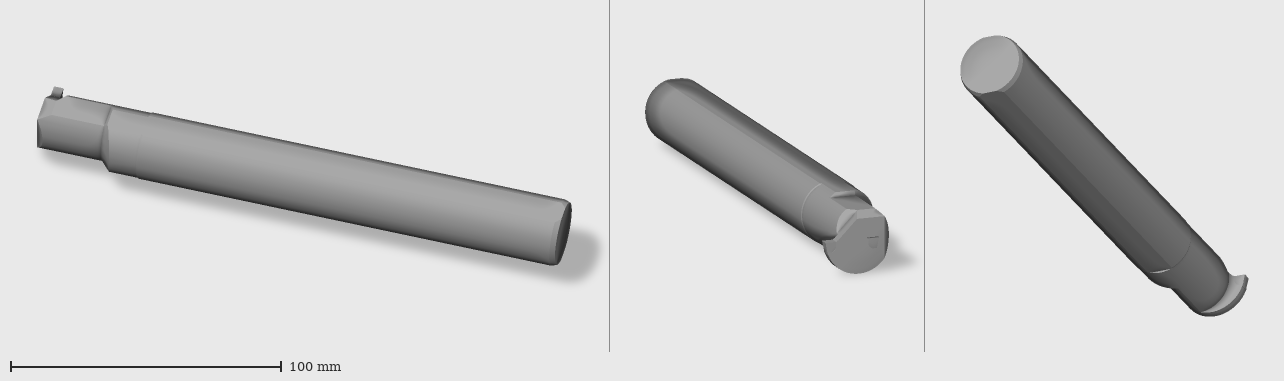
import cadquery as cq
import math

TOTAL_LENGTH = 200.0
SHANK_RADIUS = 12.5
FLAT_HEIGHT = 11.5
END_CHAMFER_LENGTH = 2.0
END_CHAMFER_ANGLE = 20.0

HEAD_RADIUS = 12.25
HEAD_LENGTH = 39.7
HEAD_TAPER = 0.6

NECK_RADIUS = 13.0
NECK_OFFSET = 5.3
NECK_LENGTH = 25.0
NECK_FLAT_HEIGHT = 10.0
NECK_FLAT_RUNOUT = 1.4

BLADE_THICKNESS = 3.65
SIDE_CHAMFER = 2.8
TOP_CHAMFER_LENGTH = 4.9
TOP_CHAMFER_DROP = 2.0
RELIEF_LENGTH = 4.9
RELIEF_SUM = 14.0
RELIEF_RUNOUT_SLOPE = 0.9

INSERT_TIP_Y = 18.5
INSERT_INNER_Y = -2.7
INSERT_BOTTOM = -4.7
INSERT_TOP = 0.5
TIP_LEVEL = 0.0
TIP_LENGTH = 4.2
TIP_RAMP = 0.7
TIP_CLEARANCE = 1.0
TIP_RELIEF_DEPTH = 0.2
TIP_RELIEF_BOTTOM = -3.9
TIP_RELIEF_RADIUS = 2.2

MARGIN = 10.0


def plate(points):
    """Blade-thick plate behind X = 0 from a closed outline of (y, z) points."""
    return cq.Workplane("YZ").polyline(points).close().extrude(BLADE_THICKNESS)


def make_bar():
    taper_end = HEAD_LENGTH + HEAD_TAPER
    end_radius = SHANK_RADIUS - END_CHAMFER_LENGTH * math.tan(math.radians(END_CHAMFER_ANGLE))
    bar = (
        cq.Workplane("XY")
        .moveTo(0, 0)
        .lineTo(0, HEAD_RADIUS)
        .lineTo(HEAD_LENGTH, HEAD_RADIUS)
        .lineTo(taper_end, SHANK_RADIUS)
        .lineTo(TOTAL_LENGTH - END_CHAMFER_LENGTH, SHANK_RADIUS)
        .lineTo(TOTAL_LENGTH, end_radius)
        .lineTo(TOTAL_LENGTH, 0)
        .close()
        .revolve(360, (0, 0, 0), (1, 0, 0))
    )
    width = 2 * (SHANK_RADIUS + MARGIN)
    flat_tool = cq.Workplane("XY").box(TOTAL_LENGTH, width, MARGIN, centered=(False, True, False))
    bar = bar.cut(flat_tool.translate((0, 0, FLAT_HEIGHT)))
    return bar.cut(flat_tool.translate((HEAD_LENGTH, 0, -FLAT_HEIGHT - MARGIN)))


def make_neck_envelope():
    """Round neck profile that opens as a 45 degree cone into the full head."""
    flare = 2 * SHANK_RADIUS
    flare_end = NECK_LENGTH + flare
    return (
        cq.Workplane("XY")
        .moveTo(0, NECK_OFFSET)
        .lineTo(0, NECK_OFFSET + NECK_RADIUS)
        .lineTo(NECK_LENGTH, NECK_OFFSET + NECK_RADIUS)
        .lineTo(flare_end, NECK_OFFSET + NECK_RADIUS + flare)
        .lineTo(TOTAL_LENGTH, NECK_OFFSET + NECK_RADIUS + flare)
        .lineTo(TOTAL_LENGTH, NECK_OFFSET)
        .close()
        .revolve(360, (0, NECK_OFFSET, 0), (1, NECK_OFFSET, 0))
    )


def make_blade():
    return cq.Workplane("YZ").center(NECK_OFFSET, 0).circle(NECK_RADIUS).extrude(BLADE_THICKNESS)


def make_neck_top_cut():
    """Neck flat with the sloping front chamfer and the slope up to the head flat."""
    step = FLAT_HEIGHT - NECK_FLAT_HEIGHT
    runout_end = NECK_LENGTH + NECK_FLAT_RUNOUT * (step + MARGIN) / step
    return (
        cq.Workplane("XZ")
        .polyline([
            (0, NECK_FLAT_HEIGHT - TOP_CHAMFER_DROP),
            (TOP_CHAMFER_LENGTH, NECK_FLAT_HEIGHT),
            (NECK_LENGTH, NECK_FLAT_HEIGHT),
            (runout_end, FLAT_HEIGHT + MARGIN),
            (0, FLAT_HEIGHT + MARGIN),
        ])
        .close()
        .extrude(SHANK_RADIUS + MARGIN, both=True)
    )


def make_side_chamfer_cut():
    edge_y = NECK_OFFSET - NECK_RADIUS
    return (
        cq.Workplane("XY")
        .polyline([
            (0, edge_y + SIDE_CHAMFER),
            (SIDE_CHAMFER + MARGIN, edge_y - MARGIN),
            (0, edge_y - MARGIN),
        ])
        .close()
        .extrude(SHANK_RADIUS + MARGIN, both=True)
    )


def make_relief_cut():
    """Chip relief above the insert: 45 degree floor with a sloping end face."""
    height = SHANK_RADIUS + MARGIN
    end_x = RELIEF_LENGTH + RELIEF_RUNOUT_SLOPE * math.sqrt(2) * height
    profile = [(0, 0), (RELIEF_LENGTH, 0), (end_x, height), (0, height)]
    wedge = cq.Workplane("XZ").polyline(profile).close().extrude(TOTAL_LENGTH / 2, both=True)
    wedge = wedge.translate((0, 0, RELIEF_SUM / math.sqrt(2)))
    wedge = wedge.rotate((0, 0, 0), (1, 0, 0), -45)
    above = cq.Workplane("XY").box(
        TOTAL_LENGTH, TOTAL_LENGTH, TOTAL_LENGTH, centered=(True, True, False)
    )
    return wedge.intersect(above.translate((0, 0, INSERT_TOP)))


def make_insert_seat():
    """Slot through the blade, open towards +Y, whose inner end leans like the insert."""
    outer = INSERT_TIP_Y + MARGIN
    return plate([
        (INSERT_INNER_Y + TIP_CLEARANCE, INSERT_BOTTOM),
        (outer, INSERT_BOTTOM),
        (outer, INSERT_TOP),
        (INSERT_INNER_Y, INSERT_TOP),
        (INSERT_INNER_Y, TIP_LEVEL),
    ])


def make_holder():
    holder = make_bar().intersect(make_neck_envelope()).union(make_blade())
    holder = holder.cut(make_neck_top_cut())
    holder = holder.cut(make_side_chamfer_cut())
    holder = holder.cut(make_relief_cut())
    return holder.cut(make_insert_seat())


def make_tip_relief(tip_y, inward):
    """Leaning side relief of one tip; inward is the Y direction from tip to insert middle."""
    step_y = tip_y + inward * TIP_LENGTH
    end_y = tip_y - inward * MARGIN
    corner = TIP_RELIEF_RADIUS * (1 - math.sqrt(0.5))
    outline = (
        cq.Workplane("YZ")
        .moveTo(end_y, INSERT_TOP)
        .lineTo(step_y, INSERT_TOP)
        .lineTo(step_y, TIP_RELIEF_BOTTOM + TIP_RELIEF_RADIUS)
        .threePointArc(
            (step_y - inward * corner, TIP_RELIEF_BOTTOM + corner),
            (step_y - inward * TIP_RELIEF_RADIUS, TIP_RELIEF_BOTTOM),
        )
        .lineTo(end_y, TIP_RELIEF_BOTTOM)
        .close()
        .extrude(TIP_RELIEF_DEPTH)
    )
    lean = (
        cq.Workplane("XZ")
        .polyline([(0, TIP_LEVEL), (0, TIP_RELIEF_BOTTOM), (TIP_RELIEF_DEPTH, TIP_RELIEF_BOTTOM)])
        .close()
        .extrude(INSERT_TIP_Y + MARGIN, both=True)
    )
    return outline.intersect(lean)


def make_insert():
    tip_reach = TIP_LENGTH + TIP_RAMP
    insert = plate([
        (INSERT_INNER_Y + TIP_CLEARANCE, INSERT_BOTTOM),
        (INSERT_TIP_Y - TIP_CLEARANCE, INSERT_BOTTOM),
        (INSERT_TIP_Y, TIP_LEVEL),
        (INSERT_TIP_Y - TIP_LENGTH, TIP_LEVEL),
        (INSERT_TIP_Y - tip_reach, INSERT_TOP),
        (INSERT_INNER_Y + tip_reach, INSERT_TOP),
        (INSERT_INNER_Y + TIP_LENGTH, TIP_LEVEL),
        (INSERT_INNER_Y, TIP_LEVEL),
    ])
    for tip_y, inward in ((INSERT_TIP_Y, -1), (INSERT_INNER_Y, 1)):
        relief = make_tip_relief(tip_y, inward)
        insert = insert.cut(relief)
        insert = insert.cut(relief.mirror("YZ").translate((BLADE_THICKNESS, 0, 0)))
    return insert


holder = make_holder()
insert = make_insert()
result = cq.Compound.makeCompound([holder.solids().val(), insert.solids().val()])